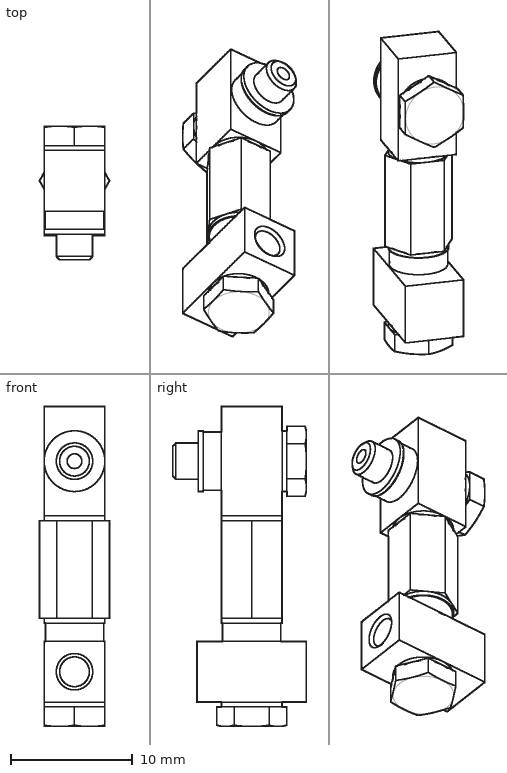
import cadquery as cq
import math


total_height = 26.3
width = 5.0
block_length = 9.0
thread_diameter = 3.0
thread_core = 2.45
thread_chamfer = (thread_diameter - thread_core) / 2
across_corners = width / math.cos(math.pi / 6)

head_height = 1.6
head_chamfer = 0.1
flange_thickness = 0.4
neck_diameter = 4.8
neck_length = 1.5
stud_length = 2.1

stud_bore_diameter = 1.2
stud_bore_depth = stud_length
port_depth = 2.5

block_start = head_height + flange_thickness
block_end = block_start + width
flange_start = block_end + neck_length
flange_end = flange_start + flange_thickness

lower_block_center = block_start + width / 2
upper_block_center = total_height - block_length / 2
stem_hex_end = total_height - block_length - flange_thickness
stem_hex_length = stem_hex_end - flange_end


def cylinder(diameter, start, length):
    """Cylinder on the Z axis from the height start upward."""
    return cq.Workplane("XY").workplane(offset=start).circle(diameter / 2).extrude(length)


def hexagon(start, length, corner_angle):
    """Hexagonal prism on the Z axis with one corner at corner_angle from X."""
    prism = cq.Workplane("XY").workplane(offset=start).polygon(6, across_corners).extrude(length)
    return prism.rotate((0, 0, 0), (0, 0, 1), corner_angle)


def hex_head():
    """Hexagonal head whose outer corners are cut by a shallow cone."""
    cone_envelope = (
        cq.Workplane("XZ")
        .moveTo(0, 0)
        .lineTo(width / 2, 0)
        .lineTo(across_corners / 2, head_chamfer)
        .lineTo(across_corners / 2, head_height)
        .lineTo(0, head_height)
        .close()
        .revolve(360, (0, 0, 0), (0, 1, 0))
    )
    return hexagon(0, head_height, 90).intersect(cone_envelope)


def swivel_spindle():
    """Head, collar, journal inside a block, neck and flange along +Z."""
    return (
        hex_head()
        .union(cylinder(width, head_height, flange_thickness))
        .union(cylinder(thread_diameter, block_start, width))
        .union(cylinder(neck_diameter, block_end, neck_length))
        .union(cylinder(width, flange_start, flange_thickness))
    )


def make_stud_spindle():
    """Swivel spindle along -Y ending in a chamfered, bored stud."""
    stud = cylinder(thread_diameter, flange_end, stud_length).faces(">Z").chamfer(thread_chamfer)
    bore_start = flange_end + stud_length - stud_bore_depth
    bore = cylinder(stud_bore_diameter, bore_start, stud_bore_depth)
    spindle = swivel_spindle().union(stud).cut(bore)
    spindle = spindle.rotate((0, 0, 0), (1, 0, 0), 90)
    return spindle.translate((0, lower_block_center, upper_block_center))


def make_stem_block():
    """Upper block, bored along Y, on a hex stem that is a swivel spindle."""
    bored_block = (
        cq.Workplane("XY")
        .box(width, width, block_length)
        .faces("<Y").workplane(centerOption="CenterOfBoundBox").hole(thread_diameter)
        .translate((0, 0, upper_block_center))
    )
    return (
        swivel_spindle()
        .union(hexagon(flange_end, stem_hex_length, 0))
        .union(cylinder(width, stem_hex_end, flange_thickness))
        .union(bored_block)
    )


def make_port_block():
    """Lower block, bored along Z, with a chamfered blind port in its -Y end."""
    block = (
        cq.Workplane("XY")
        .box(width, block_length, width)
        .faces(">Z").workplane(centerOption="CenterOfBoundBox").hole(thread_diameter)
    )
    port = (
        cylinder(thread_core, 0, port_depth)
        .union(
            cq.Workplane("XY")
            .circle(thread_diameter / 2)
            .extrude(thread_chamfer, taper=45)
        )
        .rotate((0, 0, 0), (1, 0, 0), -90)
        .translate((0, -block_length / 2, 0))
    )
    return block.cut(port).translate((0, 0, lower_block_center))


stud_spindle = make_stud_spindle()
stem_block = make_stem_block()
port_block = make_port_block()

result = cq.Compound.makeCompound([
    stud_spindle.solids().val(),
    stem_block.solids().val(),
    port_block.solids().val(),
])